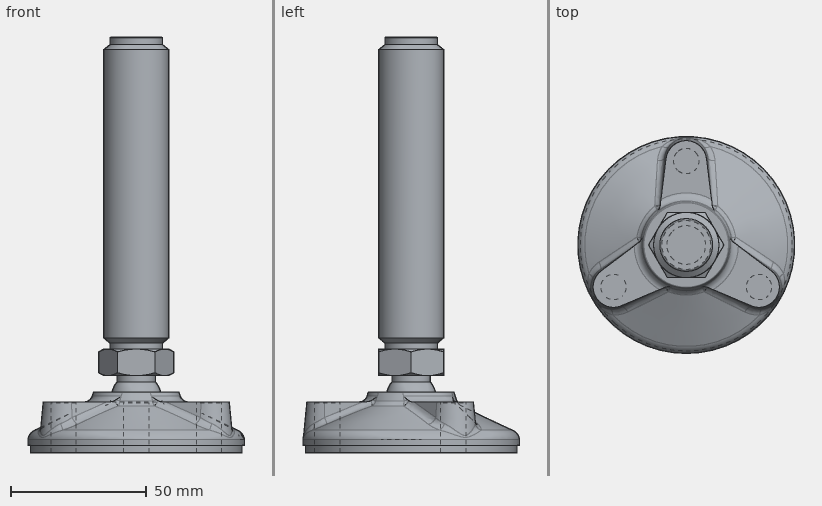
import cadquery as cq
import math

pad_diameter = 78.2
pad_height = 2.8
rim_diameter = 80.0
rim_top_z = 5.0
cone_outer_radius = 37.4
cone_outer_z = 8.5
cone_angle = 25.3
hub_top_z = 22.5
hub_top_radius = 15.8
hub_draft = 18.0
hub_edge_radius = 0.3
hub_blend_limit = 18.4
seam_angle = 30.0
blend_radius = 3.0

lug_angles = (90, 210, 330)
lug_centre_radius = 31.0
lug_inner_radius = 9.2
lug_tip_radius = 7.5
lug_side_angle = 7.0
lug_draft = 5.5
lug_top_z = 18.9
bolt_hole_diameter = 9.4
bolt_hole_skin = 0.5

ball_diameter = 18.5
neck_diameter = 14.3
neck_bottom_z = 26.2
hex_bottom_z = 28.5
hex_top_z = 38.3
hex_across_flats = 24.0
hex_chamfer_angle = 30.0
stud_diameter = 24.0
relief_diameter = 19.5
stud_bottom_z = 42.5
relief_top_z = 40.5
stud_top_z = 148.7
tip_bottom_z = 150.5
total_height = 153.3
tip_edge_radius = 0.5


def hub_wall_radius(z):
    """Radius of the drafted hub wall at height z."""
    return hub_top_radius + (hub_top_z - z) * math.tan(math.radians(hub_draft))


def make_plate():
    """Pad, rim, sloping upper surface and drafted hub as one revolved body."""
    cone_slope = math.tan(math.radians(cone_angle))
    hub_lean = math.tan(math.radians(hub_draft))
    cone_apex_z = cone_outer_z + cone_slope * cone_outer_radius
    hub_foot_radius = hub_wall_radius(cone_apex_z) / (1 - hub_lean * cone_slope)
    hub_foot_z = cone_apex_z - cone_slope * hub_foot_radius
    return (
        cq.Workplane("XZ")
        .lineTo(0, hub_top_z)
        .lineTo(hub_top_radius, hub_top_z)
        .lineTo(hub_foot_radius, hub_foot_z)
        .lineTo(cone_outer_radius, cone_outer_z)
        .tangentArcPoint((rim_diameter / 2, rim_top_z), relative=False)
        .lineTo(rim_diameter / 2, pad_height)
        .lineTo(pad_diameter / 2, pad_height)
        .lineTo(pad_diameter / 2, 0)
        .close()
        .revolve(360, (0, 0), (0, 1))
        .rotate((0, 0, 0), (0, 0, 1), seam_angle)
    )


def make_lug_blank():
    """Lug along +X, rounded at the tip, widening toward the hub, drafted, as tall as the hub."""
    side = math.radians(lug_side_angle)
    blank_tip_radius = lug_tip_radius - (hub_top_z - lug_top_z) * math.tan(math.radians(lug_draft))
    tangent_x = lug_centre_radius + blank_tip_radius * math.sin(side)
    tangent_y = blank_tip_radius * math.cos(side)
    inner_y = tangent_y + (tangent_x - lug_inner_radius) * math.tan(side)
    return (
        cq.Workplane("XY", origin=(0, 0, hub_top_z))
        .moveTo(lug_inner_radius, -inner_y)
        .lineTo(tangent_x, -tangent_y)
        .threePointArc((lug_centre_radius + blank_tip_radius, 0), (tangent_x, tangent_y))
        .lineTo(lug_inner_radius, inner_y)
        .close()
        .extrude(rim_top_z - hub_top_z, taper=-lug_draft)
    )


def make_lug_trimmer():
    """Ring that cuts the lugs to height and rounds their tops into the hub wall."""
    draft = math.radians(hub_draft)
    wall_foot_radius = hub_wall_radius(lug_top_z)
    tangent_length = blend_radius * math.tan((math.pi / 2 - draft) / 2)
    wall_tangent_z = lug_top_z + tangent_length * math.cos(draft)
    return (
        cq.Workplane("XZ")
        .moveTo(rim_diameter / 2, lug_top_z)
        .lineTo(wall_foot_radius + tangent_length, lug_top_z)
        .tangentArcPoint((hub_wall_radius(wall_tangent_z), wall_tangent_z), relative=False)
        .lineTo(hub_top_radius, hub_top_z)
        .lineTo(rim_diameter / 2, hub_top_z)
        .close()
        .revolve(360, (0, 0), (0, 1))
        .rotate((0, 0, 0), (0, 0, 1), seam_angle)
    )


def is_blended(edge):
    """True for the concave edges at the foot of the hub and around the lugs."""
    middle = edge.positionAt(0.5)
    if edge.geomType() == "CIRCLE":
        on_hub_wall = hub_top_radius < math.hypot(middle.x, middle.y) < hub_blend_limit
        return on_hub_wall and middle.z < hub_top_z - hub_edge_radius
    return edge.geomType() != "LINE"


def make_bolt_holes():
    """Blind holes from the underside, one below the rounded end of each lug."""
    return (
        cq.Workplane("XY")
        .polarArray(lug_centre_radius, lug_angles[0], 360, len(lug_angles))
        .circle(bolt_hole_diameter / 2)
        .extrude(lug_top_z - bolt_hole_skin)
    )


def make_stud():
    """Ball, neck, undercut, shank and reduced tip as one revolved body."""
    ball_radius = ball_diameter / 2
    neck_radius = neck_diameter / 2
    relief_radius = relief_diameter / 2
    stud_radius = stud_diameter / 2
    ball_centre_z = neck_bottom_z - math.sqrt(ball_radius**2 - neck_radius**2)
    return (
        cq.Workplane("XZ")
        .moveTo(0, ball_centre_z)
        .lineTo(ball_radius, ball_centre_z)
        .radiusArc((neck_radius, neck_bottom_z), -ball_radius)
        .lineTo(neck_radius, hex_bottom_z)
        .lineTo(relief_radius, hex_top_z)
        .lineTo(relief_radius, relief_top_z)
        .lineTo(stud_radius, stud_bottom_z)
        .lineTo(stud_radius, stud_top_z)
        .lineTo(relief_radius, tip_bottom_z)
        .lineTo(relief_radius, total_height)
        .lineTo(0, total_height)
        .close()
        .revolve(360, (0, 0), (0, 1))
        .faces(">Z")
        .edges()
        .fillet(tip_edge_radius)
    )


def make_hexagon():
    """Hexagon with corners on X, its corners chamfered at both ends."""
    height = hex_top_z - hex_bottom_z
    corner_radius = hex_across_flats / math.sqrt(3)
    flat_radius = hex_across_flats / 2
    chamfer_height = (corner_radius - flat_radius) * math.tan(math.radians(hex_chamfer_angle))
    prism = cq.Workplane("XY").polygon(6, 2 * corner_radius).extrude(height)
    chamfered_blank = (
        cq.Workplane("XY")
        .circle(corner_radius)
        .extrude(height)
        .edges()
        .chamfer(chamfer_height, corner_radius - flat_radius)
    )
    return prism.intersect(chamfered_blank).translate((0, 0, hex_bottom_z))


foot = make_plate()
for lug_angle in lug_angles:
    foot = foot.union(make_lug_blank().rotate((0, 0, 0), (0, 0, 1), lug_angle))
foot = foot.edges().filter(is_blended).fillet(blend_radius)
foot = foot.cut(make_lug_trimmer())
foot = foot.faces(">Z").edges().fillet(hub_edge_radius)
foot = foot.cut(make_bolt_holes())

result = foot.union(make_stud()).union(make_hexagon())